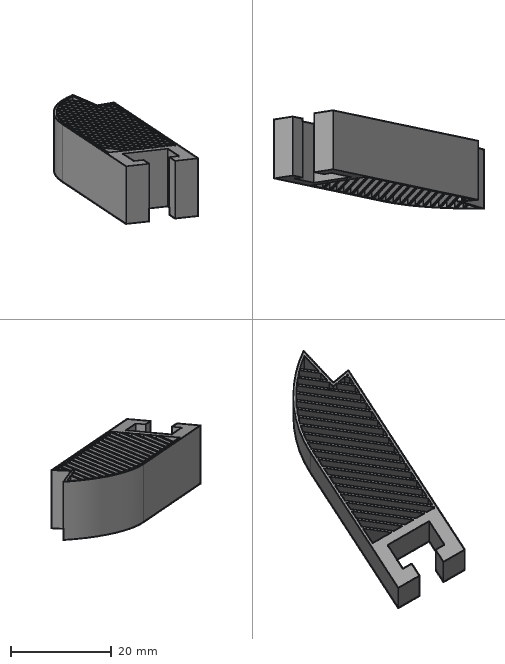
import cadquery as cq
import math

length = 52.8
width = 15.6
height = 12.0

tip_y = 10.1
notch_corner_x = 8.85
notch_tilt = math.radians(10)
belly_length = 19.0

wall = 0.6
cavity_end_x = 42.05
rib_angle = 50.2
rib_thickness = 0.395
rib_count = 20
first_rib_x = -3.15
last_rib_x = 37.65

slot_start_x = 43.95
slot_width = 9.7
lip_length = 3.0
mouth_width = 5.6


def profile(inset):
    """Outline of the part in the XY plane, moved inwards by an even inset."""
    cos_tilt = math.cos(notch_tilt)
    sin_tilt = math.sin(notch_tilt)

    corner_x = notch_corner_x + inset * (cos_tilt + sin_tilt)
    corner_y = tip_y + notch_corner_x * math.tan(notch_tilt) + inset * (sin_tilt - cos_tilt)
    top_y = width - inset
    notch_top_x = corner_x - (top_y - corner_y) * math.tan(notch_tilt)

    outer_radius = (belly_length**2 + tip_y**2) / (2 * tip_y)
    belly_radius = outer_radius - inset
    to_centre_x = belly_length - corner_x
    to_centre_y = outer_radius - corner_y
    along_floor = to_centre_x * cos_tilt + to_centre_y * sin_tilt
    off_floor = to_centre_y * cos_tilt - to_centre_x * sin_tilt
    floor_length = math.sqrt(belly_radius**2 - off_floor**2) - along_floor
    tip = (corner_x - floor_length * cos_tilt, corner_y - floor_length * sin_tilt)

    return (
        cq.Workplane("XY")
        .moveTo(corner_x, corner_y)
        .lineTo(notch_top_x, top_y)
        .lineTo(length - inset, top_y)
        .lineTo(length - inset, inset)
        .lineTo(belly_length, inset)
        .tangentArcPoint(tip, relative=False)
        .close()
    )


def block(x_start, x_end, block_width):
    """Full-height block centred across the width of the part."""
    return (
        cq.Workplane("XY")
        .center((x_start + x_end) / 2, width / 2)
        .rect(x_end - x_start, block_width)
        .extrude(height)
    )


def cavity():
    """Space inside the thin wall, ending at the solid square end."""
    inside = profile(wall).extrude(height)
    return inside.intersect(block(0, cavity_end_x, width))


def ribs():
    """Parallel slanted ribs, each long enough to cross the whole part."""
    pitch = (last_rib_x - first_rib_x) / (rib_count - 1)
    rib_length = 2 * (length + width)
    plates = cq.Workplane("XY")
    for i in range(rib_count):
        plate = (
            cq.Workplane("XY")
            .center(first_rib_x + i * pitch, 0)
            .transformed(rotate=(0, 0, rib_angle))
            .rect(rib_length, rib_thickness)
            .extrude(height)
        )
        plates = plates.add(plate)
    return plates.combine()


def t_slot():
    """Wide channel with a narrower mouth through the end face."""
    channel = block(slot_start_x, length - lip_length, slot_width)
    mouth = block(slot_start_x, length, mouth_width)
    return channel.union(mouth)


body = profile(0).extrude(height)
openings = cavity().cut(ribs())
result = body.cut(openings).cut(t_slot())